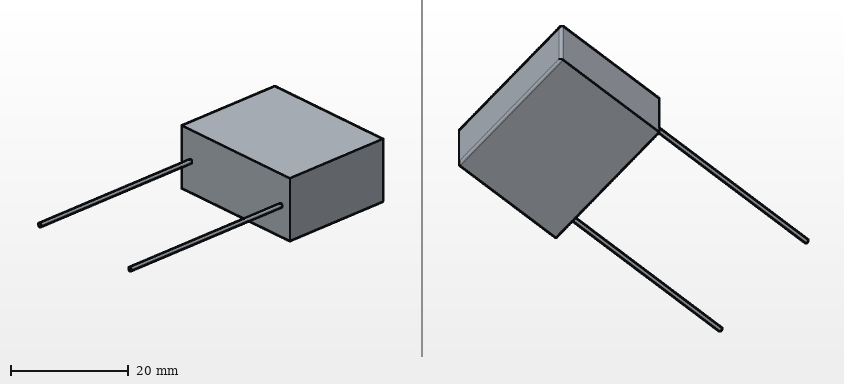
import cadquery as cq

case_width = 27.0
case_length = 22.0
case_height = 12.0
back_edge_radius = 0.5

overall_length = 57.0
lead_diameter = 0.8
lead_spacing = 22.5
lead_length = overall_length - case_length


def make_case():
    """Block with its front face on Y = 0 and a rounded rim around the +Y face."""
    block = cq.Workplane("XY").box(case_width, case_length, case_height, centered=(True, False, True))
    return block.faces(">Y").edges().fillet(back_edge_radius)


def make_lead(x):
    """Round wire that starts on the front face and runs towards -Y."""
    return cq.Workplane("XZ").center(x, 0).circle(lead_diameter / 2).extrude(lead_length)


case = make_case()
leads = [make_lead(side * lead_spacing / 2) for side in (-1, 1)]

result = cq.Compound.makeCompound([case.val(), *[lead.val() for lead in leads]])